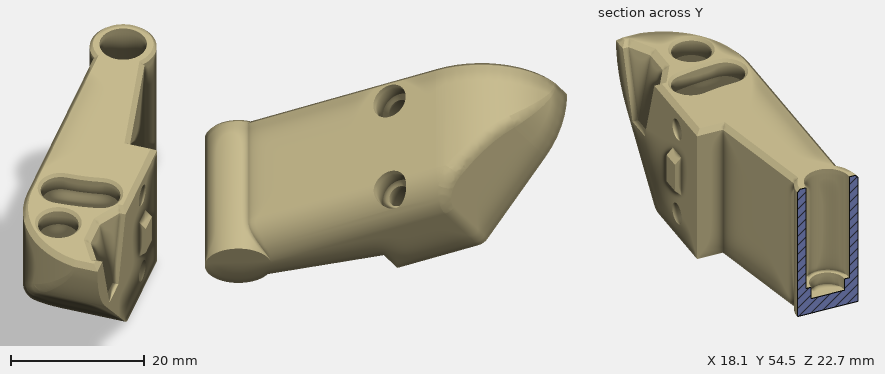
import cadquery as cq
import math

height = 22.65
overall_width = 18.05
overall_length = 54.5
boss_radius = 5.0
left_x = -3.5
right_x = 12.0
nose_y = boss_radius - overall_length

arm_start_y = -1.65
taper_start_x = 4.05
shoulder_x = 7.75
shoulder_y = -20.55
nose_arc_start_y = -35.6
nose_flat_x = 8.3
rim_chamfer = 0.75
boss_chamfer = 0.5

slope_angle = math.radians(49)
nose_curve_radius = 15.0
rim_z = height - rim_chamfer
heel_round = 2.0
side_round = 5.0

bore_diameter = 7.1
bore_depth = 18.0
pilot_diameter = 5.5
pilot_depth = 20.0

pocket_diameter = 6.1
pocket_depth = 3.0
pocket_chamfer = 0.45
pocket_x = 3.25
pocket_y = -41.45
slot_width = 6.0
slot_depth = 2.85
slot_radius = 33.95
slot_start_angle = math.radians(-88)
slot_end_angle = math.radians(-77.8)

screw_y = -27.7
screw_low_z = 3.9
screw_spacing = 15.0
screw_diameter = 3.4
head_diameter = 5.5
head_depth = 3.0
tab_tip_x = overall_width - boss_radius
tab_width = 3.0
tab_height = 6.75

notch_y = -41.4
notch_floor_z = 10.9
notch_step_x = 11.05
notch_back_x = 9.05
notch_half_width = 5.6
notch_half_back = 2.2
rim_step_x = 10.45
rim_back_x = 8.05
rim_half_width = 6.65
rim_half_back = 2.5
floor_corner = 0.005
notch_overrun = 1.1


def arm():
    """Arm plate with chamfered top rim and sloping, rounded nose underside."""
    plate = (
        cq.Workplane("XY")
        .moveTo(left_x, arm_start_y)
        .lineTo(left_x, nose_arc_start_y)
        .tangentArcPoint((nose_flat_x, nose_y), relative=False)
        .lineTo(right_x, nose_y)
        .lineTo(right_x, shoulder_y)
        .lineTo(shoulder_x, shoulder_y)
        .lineTo(taper_start_x, arm_start_y)
        .close()
        .extrude(height)
        .faces(">Z")
        .edges()
        .chamfer(rim_chamfer)
    )
    side_middle_y = (arm_start_y + nose_arc_start_y) / 2
    side_edge = cq.selectors.NearestToPointSelector((left_x, side_middle_y, 0))
    plate = plate.edges(side_edge).fillet(side_round)

    curve_center_y = nose_y + nose_curve_radius
    turn = math.pi / 2 - slope_angle

    def on_curve(angle):
        return (
            curve_center_y - nose_curve_radius * math.cos(angle),
            rim_z - nose_curve_radius * math.sin(angle),
        )

    slope_top = on_curve(turn)
    heel_y = slope_top[0] + slope_top[1] / math.tan(slope_angle)
    profile = (
        cq.Workplane("YZ", origin=(left_x, 0, 0))
        .moveTo(arm_start_y, 0)
        .lineTo(heel_y, 0)
        .lineTo(*slope_top)
        .threePointArc(on_curve(turn / 2), (nose_y, rim_z))
        .lineTo(nose_y, height)
        .lineTo(arm_start_y, height)
        .close()
        .extrude(right_x - left_x)
    )
    body = plate.intersect(profile)

    heel_edge = cq.selectors.NearestToPointSelector((right_x / 2, heel_y, 0))
    return body.edges(heel_edge).fillet(heel_round)


def boss():
    """Vertical hinge boss with a chamfered top rim."""
    return cq.Workplane("XY").circle(boss_radius).extrude(height).faces(">Z").edges().chamfer(boss_chamfer)


def blind_hole(x, y, diameter, depth):
    """Cutter for a flat-bottomed hole sunk from the top face."""
    return cq.Workplane("XY", origin=(x, y, height - depth)).circle(diameter / 2).extrude(depth)


def round_pocket():
    """Cutter for the round pocket with its chamfered mouth."""
    mouth = (
        cq.Workplane("XY", origin=(pocket_x, pocket_y, height - pocket_chamfer))
        .circle(pocket_diameter / 2)
        .workplane(offset=pocket_chamfer)
        .circle(pocket_diameter / 2 + pocket_chamfer)
        .loft()
    )
    return blind_hole(pocket_x, pocket_y, pocket_diameter, pocket_depth).union(mouth)


def slot_outline(half_width, z):
    """Closed wire of the slot curved about the boss axis, at the given height."""
    mid_angle = (slot_start_angle + slot_end_angle) / 2
    inner = slot_radius - half_width
    outer = slot_radius + half_width

    def polar(radius, angle):
        return (radius * math.cos(angle), radius * math.sin(angle))

    def end_tip(angle, direction):
        x, y = polar(slot_radius, angle)
        dx, dy = polar(half_width, angle + direction * math.pi / 2)
        return (x + dx, y + dy)

    return (
        cq.Workplane("XY", origin=(0, 0, z))
        .moveTo(*polar(inner, slot_start_angle))
        .threePointArc(polar(inner, mid_angle), polar(inner, slot_end_angle))
        .threePointArc(end_tip(slot_end_angle, 1), polar(outer, slot_end_angle))
        .threePointArc(polar(outer, mid_angle), polar(outer, slot_start_angle))
        .threePointArc(end_tip(slot_start_angle, -1), polar(inner, slot_start_angle))
        .close()
    )


def curved_slot():
    """Cutter for the curved slot with its chamfered mouth."""
    half_width = slot_width / 2
    slot = slot_outline(half_width, height - slot_depth).extrude(slot_depth)
    throat = slot_outline(half_width, height - pocket_chamfer).val()
    rim = slot_outline(half_width + pocket_chamfer, height).val()
    return slot.union(cq.Workplane(cq.Solid.makeLoft([throat, rim], True)))


def screw_hole(z):
    """Cutter for a cross hole, counterbored from the left side."""
    start = cq.Workplane("YZ", origin=(left_x, screw_y, z))
    shank = start.circle(screw_diameter / 2).extrude(right_x - left_x)
    return shank.union(start.circle(head_diameter / 2).extrude(head_depth))


def locating_tab():
    """Tab on the right wall with 45 degree ends."""
    reach = tab_tip_x - right_x
    tab_z = screw_low_z + screw_spacing / 2
    half = tab_height / 2
    tip_half = half - reach
    return (
        cq.Workplane("XZ", origin=(0, screw_y + tab_width / 2, tab_z))
        .polyline([
            (shoulder_x, -half),
            (right_x, -half),
            (tab_tip_x, -tip_half),
            (tab_tip_x, tip_half),
            (right_x, half),
            (shoulder_x, half),
        ])
        .close()
        .extrude(tab_width)
    )


def notch_layer(lower, upper):
    """Tapered cutter between two notch sections given as (z, step x, back x, half width, half back)."""
    wires = []
    for z, step_x, back_x, half_width, half_back in (lower, upper):
        outline = [
            (right_x + notch_overrun, -half_width),
            (step_x, -half_width),
            (back_x, -half_back),
            (back_x, half_back),
            (step_x, half_width),
            (right_x + notch_overrun, half_width),
        ]
        wires.append(
            cq.Wire.makePolygon([cq.Vector(x, notch_y + y, z) for x, y in outline], close=True)
        )
    return cq.Workplane(cq.Solid.makeLoft(wires, True))


def notch():
    """Cutter for the funnel notch: tapered sides, flat floor and a flared rim."""
    floor_section = (
        notch_floor_z,
        notch_step_x,
        notch_step_x - floor_corner,
        notch_half_back + floor_corner,
        notch_half_back,
    )
    wall_section = (rim_z, notch_step_x, notch_back_x, notch_half_width, notch_half_back)
    rim_section = (height, rim_step_x, rim_back_x, rim_half_width, rim_half_back)
    return notch_layer(floor_section, wall_section).union(notch_layer(wall_section, rim_section))


result = arm().union(locating_tab()).union(boss())
result = result.cut(blind_hole(0, 0, bore_diameter, bore_depth))
result = result.cut(blind_hole(0, 0, pilot_diameter, pilot_depth))
result = result.cut(round_pocket()).cut(curved_slot())
for screw_z in (screw_low_z, screw_low_z + screw_spacing):
    result = result.cut(screw_hole(screw_z))
result = result.cut(notch())